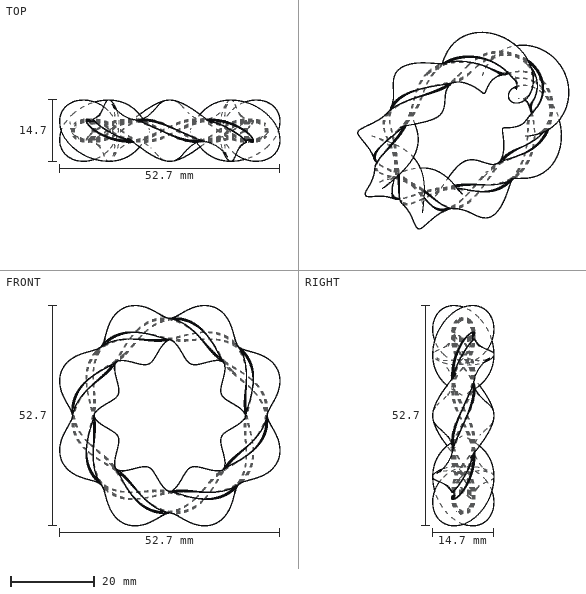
import math
import cadquery as cq

section_width = 14.7
ring_radius = 20.65
section_thickness = 5.25
groove_width = 1.7
groove_depth = 0.4
lip_chamfer = 0.15

half_twists = 8
spans_per_half_ring = 36


def ring_section(workplane):
    """Elliptical outline across the ring, with a chamfered groove along each flat side."""
    half_width = section_width / 2
    half_thickness = section_thickness / 2
    edge = groove_width / 2
    mouth = edge + lip_chamfer
    shoulder = half_thickness * math.sqrt(1 - (mouth / half_width) ** 2)
    wall_top = shoulder - lip_chamfer
    floor = shoulder - groove_depth
    angle = math.degrees(math.asin(mouth / half_width))
    return (
        workplane.moveTo(floor, -edge)
        .lineTo(floor, edge)
        .lineTo(wall_top, edge)
        .lineTo(shoulder, mouth)
        .ellipseArc(half_thickness, half_width, angle, 180 - angle, startAtCurrent=True)
        .lineTo(-wall_top, edge)
        .lineTo(-floor, edge)
        .lineTo(-floor, -edge)
        .lineTo(-wall_top, -edge)
        .lineTo(-shoulder, -mouth)
        .ellipseArc(half_thickness, half_width, 180 + angle, 360 - angle, startAtCurrent=True)
        .lineTo(wall_top, -edge)
        .close()
    )


def section_wire(ring_angle):
    """Section at a given angle around the ring, turned by the twist reached there."""
    section = ring_section(cq.Workplane("XY")).wire().val()
    twist = half_twists / 2 * ring_angle
    return (
        section.rotate(cq.Vector(0, 0, 0), cq.Vector(0, 0, 1), twist)
        .translate(cq.Vector(ring_radius, 0, 0))
        .rotate(cq.Vector(0, 0, 0), cq.Vector(0, -1, 0), ring_angle)
    )


ring_angles = [180 * i / spans_per_half_ring for i in range(spans_per_half_ring + 1)]
half_ring = cq.Workplane("XY").add(cq.Solid.makeLoft([section_wire(angle) for angle in ring_angles]))

result = half_ring.union(half_ring.rotate((0, 0, 0), (0, 1, 0), 180))